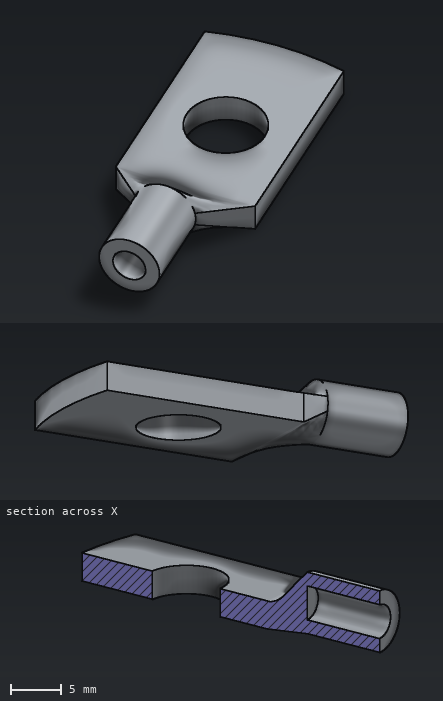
import cadquery as cq
import math

palm_width = 15.0
palm_thickness = 3.0
overall_length = 37.0
end_arc_rise = 0.92
stud_hole_diameter = 8.4
stud_hole_y = 24.0

barrel_diameter = 6.5
barrel_length = 9.0
bore_diameter = 3.5
overall_height = 7.1
barrel_radius = barrel_diameter / 2
barrel_axis_z = overall_height - barrel_radius

neck_length = 5.0
palm_start_y = barrel_length + neck_length
side_upper_angle = 12.8
side_lower_angle = -14.0
sag_slope = 1.0
neck_spans = 4
edge_spans = 8


def circle_point(angle):
    """Point on the barrel circle, angle in degrees from +X towards +Z."""
    a = math.radians(angle)
    return cq.Vector(
        barrel_radius * math.cos(a),
        barrel_length,
        barrel_axis_z + barrel_radius * math.sin(a),
    )


def make_palm():
    half_width = palm_width / 2
    shoulder_y = overall_length - end_arc_rise
    plate = (
        cq.Workplane("XY")
        .moveTo(-half_width, palm_start_y)
        .lineTo(half_width, palm_start_y)
        .lineTo(half_width, shoulder_y)
        .threePointArc((0, overall_length), (-half_width, shoulder_y))
        .close()
        .extrude(palm_thickness)
    )
    hole = (
        cq.Workplane("XY")
        .center(0, stud_hole_y)
        .circle(stud_hole_diameter / 2)
        .extrude(palm_thickness)
    )
    return plate.cut(hole)


def neck_section(t):
    """Closed outline at fraction t of the neck length: palm rectangle at 0, barrel circle at 1."""
    half_width = palm_width / 2
    corners = [
        cq.Vector(half_width, palm_start_y, palm_thickness),
        cq.Vector(-half_width, palm_start_y, palm_thickness),
        cq.Vector(-half_width, palm_start_y, 0),
        cq.Vector(half_width, palm_start_y, 0),
    ]
    arc_angles = [
        side_upper_angle,
        180 - side_upper_angle,
        180 - side_lower_angle,
        360 + side_lower_angle,
        360 + side_upper_angle,
    ]
    edges = []
    for side, corner in enumerate(corners):
        next_corner = corners[(side + 1) % len(corners)]
        points = []
        for i in range(edge_spans + 1):
            u = i / edge_spans
            angle = arc_angles[side] + u * (arc_angles[side + 1] - arc_angles[side])
            palm_point = corner + (next_corner - corner) * u
            point = palm_point + (circle_point(angle) - palm_point) * t
            if side == 0:
                sag = sag_slope * neck_length * t * (1 - t) ** 2 * 4 * u * (1 - u)
                point = point - cq.Vector(0, 0, sag)
            points.append(point)
        if t == 0:
            edges.append(cq.Edge.makeLine(points[0], points[-1]))
        elif t == 1:
            edges.append(cq.Edge.makeThreePointArc(points[0], points[edge_spans // 2], points[-1]))
        else:
            edges.append(cq.Edge.makeSpline(points))
    return cq.Wire.assembleEdges(edges)


def make_neck():
    sections = [neck_section(i / neck_spans) for i in range(neck_spans + 1)]
    return cq.Workplane(cq.Solid.makeLoft(sections))


def make_barrel_cylinder(diameter):
    return (
        cq.Workplane("XZ", origin=(0, 0, barrel_axis_z))
        .circle(diameter / 2)
        .extrude(-barrel_length)
    )


barrel = make_barrel_cylinder(barrel_diameter).cut(make_barrel_cylinder(bore_diameter))
result = make_palm().union(make_neck()).union(barrel)